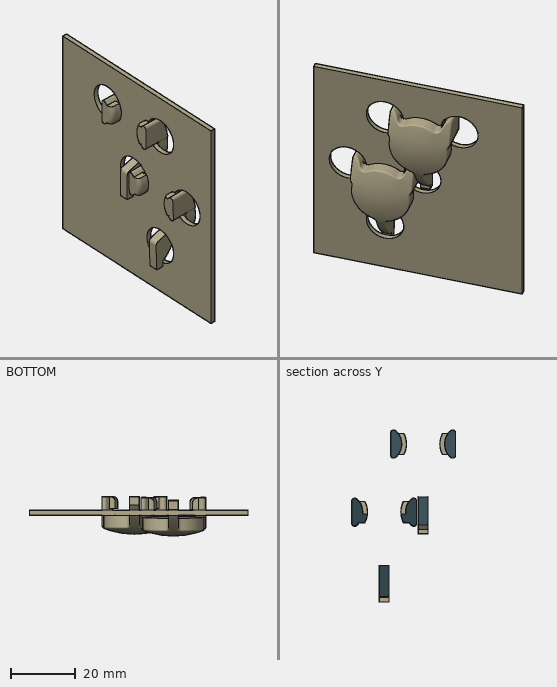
import cadquery as cq
import math


PLATE_WIDTH = 67.45
PLATE_HEIGHT = 73.55
PLATE_THICKNESS = 1.6
HOLE_RADIUS = 6.0
HOLE_PITCH = 24.05
ROW_PITCH = HOLE_PITCH * math.sqrt(3) / 2
HOLES_PER_ROW = (2, 2, 1)
FIRST_HOLE_X = -13.4
FIRST_HOLE_Z = 22.3

POST_X = HOLE_PITCH / 2
POST_Z = ROW_PITCH / 3
CLIP_DEPTH = 5.8
DISC_RADIUS = 9.5
DOME_HEIGHT = 5.8
DOME_RADIUS = 25.45
OUTLINE_FILLET = 1.5
RIM_FILLET = 0.5

POST_RADIUS = 5.45
POST_FLAT_X = POST_X - 2.0
POST_CORNER_RADIUS = 0.95

BARB_RADIUS = 6.9
BARB_HEIGHT = 6.55
BARB_START = 2.1
BARB_ROUNDING = 1.4
BARB_OUTER_X = POST_FLAT_X - POST_CORNER_RADIUS

HOOK_WIDTH = 3.1
HOOK_TOP_Z = -8.7
HOOK_SLOPE = 17.5
HOOK_BOTTOM_Z = -20.75
HOOK_NOSE_RADIUS = 1.5
CATCH_DEPTH = 3.15
FOOT_HEIGHT = 5.9

LOWER_CLIP_TILT = 2.0
LOWER_CLIP_LIFT = 0.6

TOLERANCE = 0.01


def grid_point(row, column):
    """X and Z of a hole. Each row is shifted right by half a pitch from the row above."""
    x = FIRST_HOLE_X + HOLE_PITCH * (column + row / 2)
    z = FIRST_HOLE_Z - ROW_PITCH * row
    return x, z


def clip_place(row):
    """X and Z of the clip whose two posts go through the holes of the given row."""
    left_post_x, post_z = grid_point(row, 0)
    return left_post_x + POST_X, post_z - POST_Z


def prism(outline, start, end):
    """Extrude an outline on the XZ plane from Y = start to Y = end."""
    return outline.extrude(start - end).translate((0, start, 0))


def both_sides(right):
    return right.union(right.mirror("YZ"))


def make_plate():
    blank = prism(cq.Workplane("XZ").rect(PLATE_WIDTH, PLATE_HEIGHT), -PLATE_THICKNESS, 0)
    centres = []
    for row, count in enumerate(HOLES_PER_ROW):
        for column in range(count):
            centres.append(grid_point(row, column))
    drills = cq.Workplane("XZ").pushPoints(centres).circle(HOLE_RADIUS)
    return blank.cut(prism(drills, -PLATE_THICKNESS, 0))


def inner_slab(outer_x, height):
    """Slab at post level reaching inward from X = outer_x, deeper than the whole clip."""
    outline = cq.Workplane("XZ").center(outer_x - BARB_RADIUS, POST_Z).rect(2 * BARB_RADIUS, height)
    return prism(outline, -CLIP_DEPTH, DOME_HEIGHT)


def right_post(start, end):
    outline = cq.Workplane("XZ").center(POST_X, POST_Z).circle(POST_RADIUS)
    segment = prism(outline, start, end).intersect(inner_slab(POST_FLAT_X, 2 * POST_RADIUS))
    return segment.edges("|Y").fillet(POST_CORNER_RADIUS)


def right_barb():
    outline = cq.Workplane("XZ").center(POST_X, POST_Z).circle(BARB_RADIUS)
    drum = prism(outline, -CLIP_DEPTH, -BARB_START)
    drum = drum.faces("<Y").edges().fillet(BARB_ROUNDING)
    return drum.intersect(inner_slab(BARB_OUTER_X, BARB_HEIGHT))


def make_hook():
    """Bar below the disc, with a sloping top and a rounded nose at the front."""
    drop = CLIP_DEPTH * math.tan(math.radians(HOOK_SLOPE))
    hook = (
        cq.Workplane("YZ")
        .moveTo(DOME_HEIGHT, HOOK_TOP_Z)
        .lineTo(0, HOOK_TOP_Z)
        .lineTo(-CLIP_DEPTH, HOOK_TOP_Z - drop)
        .lineTo(-CLIP_DEPTH, HOOK_BOTTOM_Z)
        .lineTo(DOME_HEIGHT, HOOK_BOTTOM_Z)
        .close()
        .extrude(HOOK_WIDTH / 2, both=True)
    )
    return hook.edges("|X").edges("<Y").edges(">Z").fillet(HOOK_NOSE_RADIUS)


def make_foot():
    """Tip of the hook, in front of the plate and reaching below the dome surface."""
    outline = cq.Workplane("XZ").center(0, HOOK_BOTTOM_Z + FOOT_HEIGHT / 2).rect(HOOK_WIDTH, FOOT_HEIGHT)
    return prism(outline, -CLIP_DEPTH, -CATCH_DEPTH)


def is_on_disc_edge(edge):
    middle = edge.Center()
    return abs(math.hypot(middle.x, middle.z) - DISC_RADIUS) < TOLERANCE


def is_behind_catch(edge):
    return edge.Center().y > -CATCH_DEPTH


def make_clip():
    disc = prism(cq.Workplane("XZ").circle(DISC_RADIUS), 0, DOME_HEIGHT)
    bar = cq.Workplane("XZ").center(0, HOOK_BOTTOM_Z / 2).rect(HOOK_WIDTH, -HOOK_BOTTOM_Z)
    body = disc.union(prism(bar, 0, DOME_HEIGHT))
    body = body.union(both_sides(right_post(0, DOME_HEIGHT)))
    body = body.edges("|Y").filter(is_on_disc_edge).fillet(OUTLINE_FILLET)
    body = body.union(make_hook()).clean()

    dome = cq.Workplane("XY").sphere(DOME_RADIUS).translate((0, DOME_HEIGHT - DOME_RADIUS, 0))
    body = body.intersect(dome)
    body = body.faces("%SPHERE").edges().filter(is_behind_catch).fillet(RIM_FILLET)

    body = body.union(make_foot())
    barbed_post = right_post(-CLIP_DEPTH, 0).union(right_barb())
    return body.union(both_sides(barbed_post))


def place_clip(clip, row, tilt, lift):
    x, z = clip_place(row)
    return clip.rotate((0, 0, 0), (1, 0, 0), tilt).translate((x, lift, z))


plate = make_plate()
clip_shape = make_clip()
clips = []
for row, (tilt, lift) in enumerate([(0, 0), (LOWER_CLIP_TILT, LOWER_CLIP_LIFT)]):
    clips.append(place_clip(clip_shape, row, tilt, lift).solids().val())

result = cq.Compound.makeCompound([plate.solids().val(), *clips])